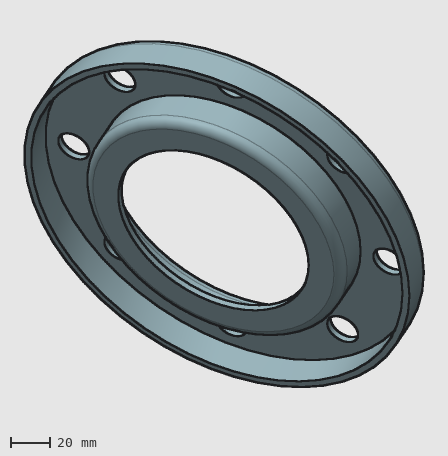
import cadquery as cq
import math

outer_radius = 110.0
total_depth = 24.5
rim_depth = 20.5
sheet = 4.0
corner_radius = 5.0
boss_radius = 74.0
bore_radius = 54.3
hole_count = 8
hole_circle_radius = 90.0
hole_diameter = 17.5

back_y = total_depth / 2
boss_front_y = -back_y
rim_front_y = back_y - rim_depth
web_front_y = back_y - sheet
boss_inner_y = boss_front_y + sheet

rim_inner_radius = outer_radius - sheet
cavity_radius = boss_radius - sheet

corner_inset = corner_radius * (1 - math.sqrt(0.5))


def pressed_ring():
    """Revolve the sheet section: raised boss, flat web and outer rim."""
    section = (
        cq.Workplane("XY")
        .moveTo(bore_radius, boss_front_y)
        .lineTo(boss_radius - corner_radius, boss_front_y)
        .threePointArc(
            (boss_radius - corner_inset, boss_front_y + corner_inset),
            (boss_radius, boss_front_y + corner_radius),
        )
        .lineTo(boss_radius, web_front_y)
        .lineTo(rim_inner_radius, web_front_y)
        .lineTo(rim_inner_radius, rim_front_y)
        .lineTo(outer_radius, rim_front_y)
        .lineTo(outer_radius, back_y - corner_radius)
        .threePointArc(
            (outer_radius - corner_inset, back_y - corner_inset),
            (outer_radius - corner_radius, back_y),
        )
        .lineTo(cavity_radius + corner_radius, back_y)
        .threePointArc(
            (cavity_radius + corner_inset, back_y - corner_inset),
            (cavity_radius, back_y - corner_radius),
        )
        .lineTo(cavity_radius, boss_inner_y)
        .lineTo(bore_radius, boss_inner_y)
        .close()
    )
    return section.revolve(360, (0, 0, 0), (0, 1, 0))


def bolt_holes():
    """Evenly spaced cylinders running through the full depth along Y."""
    return (
        cq.Workplane("XZ", origin=(0, back_y, 0))
        .polarArray(hole_circle_radius, 0, 360, hole_count)
        .circle(hole_diameter / 2)
        .extrude(total_depth)
    )


result = pressed_ring().cut(bolt_holes())